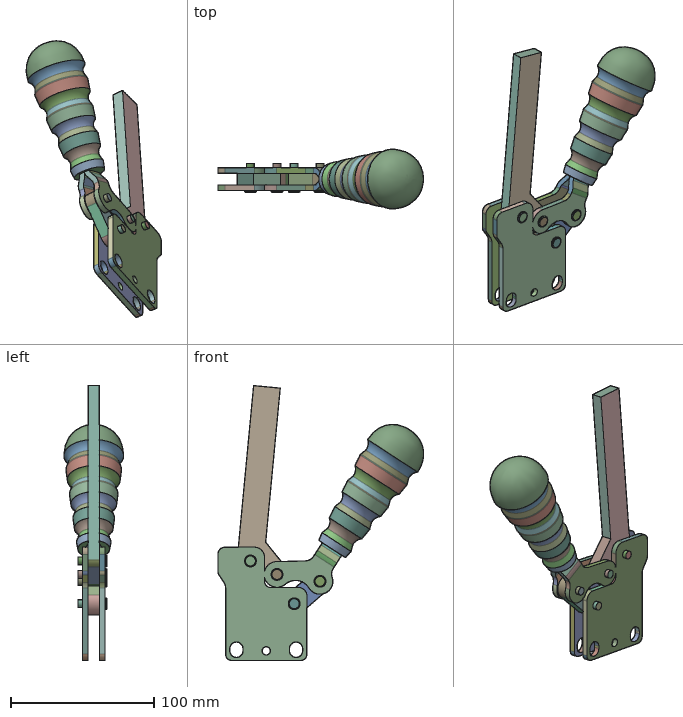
import cadquery as cq
import math


gap = 8.0
plate_thickness = 4.0
inner_y = gap / 2
outer_y = inner_y + plate_thickness

arm_pivot = (-11.0, 69.5)
lever_pivot = (7.5, 60.1)
link_top_pivot = (37.5, 55.3)
link_base_pivot = (19.5, 39.7)
pin_diameter = 5.6
pin_tail = 3.0
pin_head_diameter = 8.2
pin_head_height = 1.3
pin_head_chamfer = 0.6

base_half_width = 28.4
base_height = 79.1
ear_left_x = -33.8
ear_bottom_z = 60.9
ear_slope = math.radians(56.3)
notch_x = -1.2
notch_z = 51.0
bottom_corner_radius = 4.5
right_shoulder_radius = 6.0
notch_radius = 4.5
top_right_radius = 7.0
top_left_radius = 5.0
ear_radius = 5.0
ear_foot_radius = 7.0
slot_x = 20.8
slot_z = 7.6
slot_width = 9.0
slot_length = 10.6
middle_hole_z = 6.8
middle_hole_diameter = 5.6

arm_width = 18.8
arm_lean = math.radians(5.4)
arm_top_length = 122.0
arm_elbow_height = 14.0
arm_heel_offset = 7.0
arm_heel_radius = 5.2
arm_tail_radius = 8.0

link_radius = 8.0

grip_base = (45.9, 77.8)
grip_angle = math.radians(57.0)
lever_end_radius = 9.0
lever_arch_radius = 11.0
lever_top_slope = math.radians(1.5)
lever_fillet = 7.0
neck_width = 16.2
neck_start = -9.8
neck_bend_angle = math.radians(30.0)
neck_inner_radius = 3.0
neck_end = 20.0

ridge_count = 4
ridge_pitch = 20.1
ridge_growth = 2.45
ridge_foot_radius = 11.1
ridge_crest = (5.8, 12.1)
ridge_crest_round = 1.8
first_rounded_ridge = 2
ridge_valley = (10.3, 10.6)
ridge_flare = (14.2, 11.2)
ridge_flare_end = 17.2

dome_height = 21.7
dome_shoulder_reach = 21.9
dome_shoulder_angle = math.radians(45.0)


def polar(length, angle):
    return (length * math.cos(angle), length * math.sin(angle))


def add(point, vector):
    return (point[0] + vector[0], point[1] + vector[1])


def distance(start, end):
    return math.hypot(end[0] - start[0], end[1] - start[1])


def direction(start, end):
    return math.atan2(end[1] - start[1], end[0] - start[0])


def crossing(point, angle, other_point, other_angle):
    """Point where two straight lines, each given by a point and an angle, meet."""
    dx = other_point[0] - point[0]
    dz = other_point[1] - point[1]
    along = (dx * math.sin(other_angle) - dz * math.cos(other_angle)) / math.sin(other_angle - angle)
    return add(point, polar(along, angle))


def at_y(y):
    """XZ workplane at the given Y; a positive extrusion runs toward -Y."""
    return cq.Workplane("XZ", origin=(0, y, 0))


def round_corner(body, point, radius):
    """Round the edge of a plate that runs along Y through the given (X, Z) point."""
    y = body.val().Center().y
    corner = body.edges("|Y").edges(cq.NearestToPointSelector((point[0], y, point[1])))
    return corner.fillet(radius)


def with_mirror(front):
    return front.union(front.mirror("XZ"))


def grip_point(along, across):
    """(X, Z) of a place measured along the grip axis and across it, toward the lower right."""
    on_axis = add(grip_base, polar(along, grip_angle))
    return add(on_axis, polar(across, grip_angle - math.pi / 2))


def make_base():
    ear_foot_z = ear_bottom_z - (-base_half_width - ear_left_x) * math.tan(ear_slope)
    corners = [
        ((-base_half_width, 0), bottom_corner_radius),
        ((base_half_width, 0), bottom_corner_radius),
        ((base_half_width, notch_z), right_shoulder_radius),
        ((notch_x, notch_z), notch_radius),
        ((notch_x, base_height), top_right_radius),
        ((ear_left_x, base_height), top_left_radius),
        ((ear_left_x, ear_bottom_z), ear_radius),
        ((-base_half_width, ear_foot_z), ear_foot_radius),
    ]
    outline = [point for point, _ in corners]
    plate = at_y(-inner_y).polyline(outline).close().extrude(plate_thickness)
    for point, radius in corners:
        plate = round_corner(plate, point, radius)
    slots = at_y(-inner_y).pushPoints([(-slot_x, slot_z), (slot_x, slot_z)])
    slots = slots.slot2D(slot_length, slot_width, 90).extrude(plate_thickness)
    middle_hole = at_y(-inner_y).center(0, middle_hole_z).circle(middle_hole_diameter / 2)
    middle_hole = middle_hole.extrude(plate_thickness)
    return with_mirror(plate.cut(slots).cut(middle_hole))


def make_arm():
    bar_angle = math.pi / 2 - arm_lean
    to_left = bar_angle + math.pi / 2
    bar_end = add(arm_pivot, polar(arm_top_length, bar_angle))
    top_left = add(bar_end, polar(arm_width / 2, to_left))
    top_right = add(bar_end, polar(-arm_width / 2, to_left))

    span = distance(arm_pivot, lever_pivot)
    pivot_line = direction(arm_pivot, lever_pivot)
    heel_line = pivot_line - math.asin((arm_tail_radius - arm_heel_offset) / span)
    tail_low = add(lever_pivot, polar(arm_tail_radius, heel_line - math.pi / 2))
    heel = crossing(top_left, bar_angle, tail_low, heel_line)

    elbow = add(arm_pivot, polar(-arm_width / 2, to_left))
    elbow = add(elbow, polar(arm_elbow_height, bar_angle))
    tail_line = direction(elbow, lever_pivot) + math.asin(arm_tail_radius / distance(elbow, lever_pivot))
    tail_high = add(lever_pivot, polar(arm_tail_radius, tail_line + math.pi / 2))

    outline = [top_left, top_right, elbow, tail_high, lever_pivot, tail_low, heel]
    body = at_y(inner_y).polyline(outline).close().extrude(gap)
    body = round_corner(body, heel, arm_heel_radius)
    tail = at_y(inner_y).center(*lever_pivot).circle(arm_tail_radius).extrude(gap)
    return body.union(tail)


def make_link():
    length = distance(link_base_pivot, link_top_pivot) + 2 * link_radius
    middle = tuple((a + b) / 2 for a, b in zip(link_base_pivot, link_top_pivot))
    angle = math.degrees(direction(link_base_pivot, link_top_pivot))
    return at_y(inner_y).center(*middle).slot2D(length, 2 * link_radius, angle).extrude(gap)


def make_lever_plate():
    half_span = distance(lever_pivot, link_top_pivot) / 2
    pivot_line = direction(lever_pivot, link_top_pivot)
    arch_depth = math.sqrt((lever_end_radius + lever_arch_radius) ** 2 - half_span ** 2)
    arch_centre = add(lever_pivot, polar(half_span, pivot_line))
    arch_centre = add(arch_centre, polar(arch_depth, pivot_line - math.pi / 2))

    top_start = add(lever_pivot, polar(lever_end_radius, lever_top_slope + math.pi / 2))
    neck_left = grip_point(neck_start, -neck_width / 2)
    neck_right = grip_point(neck_start, neck_width / 2)
    throat = crossing(top_start, lever_top_slope, neck_left, grip_angle)

    dx = link_top_pivot[0] - neck_right[0]
    dz = link_top_pivot[1] - neck_right[1]
    along = dx * math.cos(grip_angle) + dz * math.sin(grip_angle)
    across = dx * math.sin(grip_angle) - dz * math.cos(grip_angle)
    foot = add(neck_right, polar(along + math.sqrt(lever_end_radius ** 2 - across ** 2), grip_angle))

    outline = [lever_pivot, top_start, throat, neck_left, neck_right, foot, link_top_pivot, arch_centre]
    plate = at_y(-inner_y).polyline(outline).close().extrude(plate_thickness)
    for pivot in (lever_pivot, link_top_pivot):
        end = at_y(-inner_y).center(*pivot).circle(lever_end_radius).extrude(plate_thickness)
        plate = plate.union(end)
    arch = at_y(-inner_y).center(*arch_centre).circle(lever_arch_radius).extrude(plate_thickness)
    plate = plate.cut(arch)
    for corner in (throat, foot):
        plate = round_corner(plate, corner, lever_fillet)
    return plate


def make_neck():
    """Jogged strip that carries a lever plate inward until it meets its twin at Y = 0."""
    small = neck_inner_radius
    large = neck_inner_radius + plate_thickness
    sine = math.sin(neck_bend_angle)
    cosine = math.cos(neck_bend_angle)
    straight = (inner_y - (small + large) * (1 - cosine)) / sine
    run = (small + large) * sine + straight * cosine

    first = (neck_start, inner_y - small)
    second = (neck_start + run, large)

    def on_first(radius, angle):
        return (first[0] + radius * math.sin(angle), first[1] + radius * math.cos(angle))

    def on_second(radius, angle):
        return (second[0] - radius * math.sin(angle), second[1] - radius * math.cos(angle))

    half = neck_bend_angle / 2
    plane = cq.Plane(
        origin=(grip_base[0], 0, grip_base[1]),
        xDir=(math.cos(grip_angle), 0, math.sin(grip_angle)),
        normal=(math.sin(grip_angle), 0, -math.cos(grip_angle)),
    )
    strip = (
        cq.Workplane(plane)
        .moveTo(*on_first(large, 0))
        .threePointArc(on_first(large, half), on_first(large, neck_bend_angle))
        .lineTo(*on_second(small, neck_bend_angle))
        .threePointArc(on_second(small, half), on_second(small, 0))
        .lineTo(neck_end, plate_thickness)
        .lineTo(neck_end, 0)
        .lineTo(*on_second(large, 0))
        .threePointArc(on_second(large, half), on_second(large, neck_bend_angle))
        .lineTo(*on_first(small, neck_bend_angle))
        .threePointArc(on_first(small, half), on_first(small, 0))
        .close()
    )
    return strip.extrude(neck_width / 2, both=True)


def ridge_point(ridge, along, radius):
    """Place of a first-ridge profile point on the given ridge, as (radius, distance along the axis)."""
    return (radius + ridge * ridge_growth, along + ridge * ridge_pitch)


def make_grip():
    profile = cq.Workplane(
        cq.Plane(
            origin=(grip_base[0], 0, grip_base[1]),
            xDir=(math.sin(grip_angle), 0, -math.cos(grip_angle)),
            normal=(0, -1, 0),
        )
    )
    profile = profile.moveTo(0, 0).lineTo(ridge_foot_radius, 0)

    for ridge in range(ridge_count):
        crest = ridge_point(ridge, *ridge_crest)
        valley = ridge_point(ridge, *ridge_valley)
        flare = ridge_point(ridge, *ridge_flare)
        flare_end = ridge_point(ridge, ridge_flare_end, ridge_foot_radius + ridge_growth)
        profile = profile.lineTo(*crest).lineTo(*valley).threePointArc(flare, flare_end)

    dome_start = flare_end[1]
    shoulder = polar(dome_shoulder_reach, dome_shoulder_angle)
    profile = profile.spline(
        [(shoulder[0], dome_start + shoulder[1]), (0, dome_start + dome_height)],
        tangents=[(0, 1), (-1, 0)],
        includeCurrent=True,
    )
    grip = profile.close().revolve(360, (0, 0), (0, 1))

    for ridge in range(first_rounded_ridge, ridge_count):
        x, z = grip_point(ridge_crest[0] + ridge * ridge_pitch, 0)
        grip = grip.edges(cq.NearestToPointSelector((x, 0, z))).fillet(ridge_crest_round)
    return grip


def make_pin(pivot):
    shank = at_y(outer_y + pin_tail).center(*pivot).circle(pin_diameter / 2)
    shank = shank.extrude(2 * outer_y + pin_tail)
    head = at_y(-outer_y).center(*pivot).circle(pin_head_diameter / 2).extrude(pin_head_height)
    return shank.union(head.faces("<Y").chamfer(pin_head_chamfer))


result = make_base().union(make_arm()).union(make_link())
result = result.union(with_mirror(make_lever_plate())).union(with_mirror(make_neck())).union(make_grip())
for pivot in (arm_pivot, lever_pivot, link_top_pivot, link_base_pivot):
    result = result.union(make_pin(pivot))